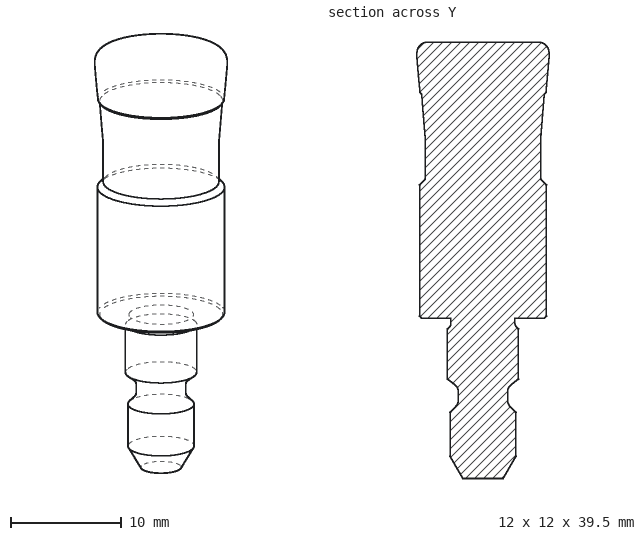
import cadquery as cq
import math

total_height = 39.5
body_bottom = 14.5
body_top = 26.6
handle_neck_length = 4.23
band_height = 0.47
grip_ledge_z = 34.95
grip_ledge_height = 0.2

head_radius = 6.0
head_fillet = 1.0
upper_grip_bottom_radius = 5.73
lower_grip_top_radius = 5.55
handle_neck_radius = 5.25
body_radius = 5.75
body_bottom_chamfer = 0.2

shoulder_radius = 3.25
shoulder_top = 13.55
shoulder_bottom = 9.0
undercut_radius = 2.92
undercut_fillet = 0.28
groove_radius = 2.25
groove_fillet = 0.8
groove_upper_angle = 52.0
tip_radius = 3.0
tip_top = 6.0
tip_taper_height = 2.0
tip_taper_angle = 30.0
lead_angle = 45.0


def root_fillet(neck_radius, cone_radius, cone_z, angle, fillet, direction):
    """Return the cone end, arc middle and neck end of a fillet between a cone and a neck.

    The cone starts at (cone_radius, cone_z) and narrows along `direction`
    (+1 up, -1 down) until the fillet blends it into the cylindrical neck.
    """
    full = math.radians(angle)
    half = full / 2
    cone_end_radius = neck_radius + fillet * (1 - math.cos(full))
    cone_end_z = cone_z + direction * (cone_radius - cone_end_radius) / math.tan(full)
    neck_z = cone_end_z + direction * fillet * math.sin(full)
    middle = (
        neck_radius + fillet * (1 - math.cos(half)),
        neck_z - direction * fillet * math.sin(half),
    )
    return (cone_end_radius, cone_end_z), middle, (neck_radius, neck_z)


groove_low_cone, groove_low_mid, groove_low_neck = root_fillet(
    groove_radius, tip_radius, tip_top, lead_angle, groove_fillet, 1)
groove_high_cone, groove_high_mid, groove_high_neck = root_fillet(
    groove_radius, shoulder_radius, shoulder_bottom, groove_upper_angle, groove_fillet, -1)
undercut_cone, undercut_mid, undercut_neck = root_fillet(
    undercut_radius, shoulder_radius, shoulder_top, lead_angle, undercut_fillet, 1)

tip_end_radius = tip_radius - tip_taper_height * math.tan(math.radians(tip_taper_angle))
body_top_chamfer = body_radius - handle_neck_radius
handle_neck_bottom = body_top + body_top_chamfer
handle_neck_top = body_top + handle_neck_length
head_fillet_z = total_height - head_fillet
head_arc_offset = head_fillet * math.sin(math.radians(45))

half_section = (
    cq.Workplane("XZ")
    .moveTo(0, 0)
    .lineTo(tip_end_radius, 0)
    .lineTo(tip_radius, tip_taper_height)
    .lineTo(tip_radius, tip_top)
    .lineTo(*groove_low_cone)
    .threePointArc(groove_low_mid, groove_low_neck)
    .lineTo(*groove_high_neck)
    .threePointArc(groove_high_mid, groove_high_cone)
    .lineTo(shoulder_radius, shoulder_bottom)
    .lineTo(shoulder_radius, shoulder_top)
    .lineTo(*undercut_cone)
    .threePointArc(undercut_mid, undercut_neck)
    .lineTo(undercut_radius, body_bottom)
    .lineTo(body_radius - body_bottom_chamfer, body_bottom)
    .lineTo(body_radius, body_bottom + body_bottom_chamfer)
    .lineTo(body_radius, body_top)
    .lineTo(handle_neck_radius, handle_neck_bottom)
    .lineTo(handle_neck_radius, handle_neck_top)
    .lineTo(lower_grip_top_radius, grip_ledge_z - grip_ledge_height)
    .lineTo(upper_grip_bottom_radius, grip_ledge_z)
    .lineTo(head_radius, head_fillet_z - band_height)
    .lineTo(head_radius, head_fillet_z)
    .threePointArc(
        (head_radius - head_fillet + head_arc_offset, head_fillet_z + head_arc_offset),
        (head_radius - head_fillet, total_height),
    )
    .lineTo(0, total_height)
    .close()
)

result = half_section.revolve(360, (0, 0, 0), (0, 1, 0))